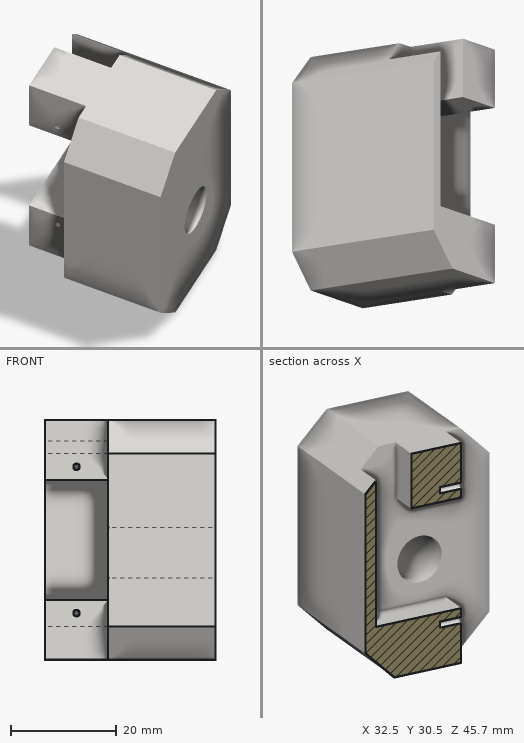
import cadquery as cq

length_x = 32.55
width_y = 30.5
height_z = 45.7
corner_chamfer = 6.35

recess_depth = 12.05
front_step = 9.6
back_wall = 2.4
arm_height = 11.45
upper_arm_width = 10.9

bore_diameter = 9.65
bore_drop = 2.45
pin_diameter = 1.2
pin_depth = 4.55
pin_inset_z = 8.9

front_y = -width_y / 2
back_y = width_y / 2
top_z = height_z / 2
arm_front_y = front_y + front_step
upper_arm_back_y = arm_front_y + upper_arm_width
wall_front_y = back_y - back_wall


def recess_box(y_min, y_max, z_min, z_max):
    """Box spanning the recess depth in X and the given Y and Z ranges."""
    return cq.Workplane("XY").box(
        recess_depth, y_max - y_min, z_max - z_min, centered=False
    ).translate((0, y_min, z_min))


def block():
    """Octagonal prism along X."""
    return (
        cq.Workplane("XY")
        .box(length_x, width_y, height_z, centered=(False, True, True))
        .edges("|X")
        .chamfer(corner_chamfer)
    )


def recess():
    """Material removed around the two arms and in front of the back wall."""
    step = recess_box(front_y, arm_front_y, -top_z, top_z)
    between_arms = recess_box(arm_front_y, wall_front_y, arm_height - top_z, top_z - arm_height)
    behind_upper_arm = recess_box(upper_arm_back_y, wall_front_y, arm_height - top_z, top_z)
    return step.union(between_arms).union(behind_upper_arm)


def bore():
    """Through hole along X, below the middle of the block."""
    return (
        cq.Workplane("YZ")
        .center(0, -bore_drop)
        .circle(bore_diameter / 2)
        .extrude(length_x)
    )


def pin_hole(z):
    """Blind hole in the front face of an arm, midway along it."""
    return (
        cq.Workplane("XZ", origin=(recess_depth / 2, arm_front_y, z))
        .circle(pin_diameter / 2)
        .extrude(-pin_depth)
    )


result = block().cut(recess()).cut(bore())
for side in (-1, 1):
    result = result.cut(pin_hole(side * (top_z - pin_inset_z)))